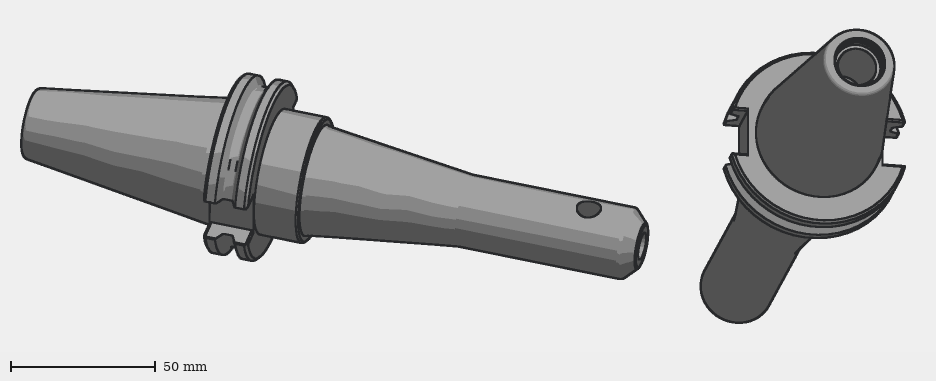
import cadquery as cq
import math

LENGTH = 220.6
TAPER_END = 68.0
FLANGE_START = 71.5
FLANGE_END = 87.4
BODY_END = 103.0
NECK_START = 104.5
SHANK_START = 157.0

SMALL_END_RADIUS = 12.4
SMALL_END_ROUND = 2.0
BODY_RADIUS = 44.4 / 2
BODY_CHAMFER = 0.7
SHOULDER_RADIUS = 19.6
NECK_RADIUS = 19.2
SHANK_RADIUS = 25.4 / 2
TIP_CHAMFER = 4.9
TIP_ROUND = 1.8
TIP_EDGE_BREAK = 0.5

FLANGE_RADIUS = 63.3 / 2
FLANGE_FRONT_CHAMFER = 0.9
FLANGE_BACK_CHAMFER = 1.0
GROOVE_CENTER = (FLANGE_START + FLANGE_END) / 2
GROOVE_FLOOR_RADIUS = 28.2
GROOVE_FLOOR_WIDTH = 3.3
GROOVE_FLOOR_ROUND = 0.7
GROOVE_WALL_SLOPE = math.radians(30)

SLOT_WIDTH = 16.0
SLOT_FLOOR_FRONT = 22.5
SLOT_FLOOR_BACK = 25.0
SLOT_RIM_CHAMFER = 0.5
SLOT_FACE_CHAMFER = 0.7

MOUTH_DIAMETER = 17.9
PILOT_DIAMETER = 16.8
PILOT_DEPTH = 2.5
RELIEF_DIAMETER = 16.3
RELIEF_DEPTH = 4.6
THREAD_DIAMETER = 13.5
THREAD_DEPTH = 31.0
COOLANT_DIAMETER = 9.5
DRILL_POINT_ANGLE = math.radians(118)
SCREW_HOLE_DIAMETER = 8.4
SCREW_HOLE_X = 201.5


def revolve_about_x(profile):
    return profile.close().revolve(360, (0, 0, 0), (1, 0, 0))


def turned_body():
    """Taper, collar, conical neck and straight shank."""
    body = revolve_about_x(
        cq.Workplane("XY")
        .moveTo(0, 0)
        .lineTo(0, SMALL_END_RADIUS)
        .lineTo(TAPER_END, BODY_RADIUS)
        .lineTo(BODY_END - BODY_CHAMFER, BODY_RADIUS)
        .lineTo(BODY_END, BODY_RADIUS - BODY_CHAMFER)
        .lineTo(BODY_END, SHOULDER_RADIUS)
        .lineTo(NECK_START, NECK_RADIUS)
        .lineTo(SHANK_START, SHANK_RADIUS)
        .lineTo(LENGTH - TIP_CHAMFER, SHANK_RADIUS)
        .lineTo(LENGTH, SHANK_RADIUS - TIP_CHAMFER)
        .lineTo(LENGTH, 0)
    )
    body = body.faces("<X").edges().fillet(SMALL_END_ROUND)
    body = body.faces(">X").edges().chamfer(TIP_EDGE_BREAK)
    chamfer_edge = cq.selectors.BoxSelector(
        (LENGTH - TIP_CHAMFER - TIP_EDGE_BREAK, -LENGTH, -LENGTH),
        (LENGTH - TIP_CHAMFER + TIP_EDGE_BREAK, LENGTH, LENGTH),
    )
    return body.edges("%CIRCLE").edges(chamfer_edge).fillet(TIP_ROUND)


def flange():
    """Grooved disc with a slot on each side, slot walls chamfered at both faces."""
    disc = cq.Workplane("YZ", origin=(FLANGE_START, 0, 0)).circle(FLANGE_RADIUS)
    disc = disc.extrude(FLANGE_END - FLANGE_START)
    disc = disc.faces("<X").edges().chamfer(FLANGE_FRONT_CHAMFER)
    disc = disc.faces(">X").edges().chamfer(FLANGE_BACK_CHAMFER)
    disc = disc.cut(v_groove())
    for side, floor in ((-1, SLOT_FLOOR_FRONT), (1, SLOT_FLOOR_BACK)):
        disc = disc.cut(drive_slot(side, floor))
    for face in ("<X", ">X"):
        disc = disc.faces(face).edges("|Y").chamfer(SLOT_FACE_CHAMFER)
    return disc


def v_groove():
    half_floor = GROOVE_FLOOR_WIDTH / 2
    depth = FLANGE_RADIUS - GROOVE_FLOOR_RADIUS
    half_mouth = half_floor + depth * math.tan(GROOVE_WALL_SLOPE)
    ring = revolve_about_x(
        cq.Workplane("XY")
        .moveTo(GROOVE_CENTER - half_mouth, FLANGE_RADIUS)
        .lineTo(GROOVE_CENTER - half_floor, GROOVE_FLOOR_RADIUS)
        .lineTo(GROOVE_CENTER + half_floor, GROOVE_FLOOR_RADIUS)
        .lineTo(GROOVE_CENTER + half_mouth, FLANGE_RADIUS)
    )
    floor_edges = cq.selectors.RadiusNthSelector(0)
    return ring.edges(floor_edges).fillet(GROOVE_FLOOR_ROUND)


def drive_slot(side, floor):
    """Slot open to the rim on the given Y side, with chamfered rim edges."""
    half_width = SLOT_WIDTH / 2
    rim = math.sqrt(FLANGE_RADIUS**2 - half_width**2) - SLOT_RIM_CHAMFER
    flare = FLANGE_RADIUS - rim
    return (
        cq.Workplane("YZ", origin=(FLANGE_START, 0, 0))
        .moveTo(side * floor, -half_width)
        .lineTo(side * rim, -half_width)
        .lineTo(side * FLANGE_RADIUS, -half_width - flare)
        .lineTo(side * FLANGE_RADIUS, half_width + flare)
        .lineTo(side * rim, half_width)
        .lineTo(side * floor, half_width)
        .close()
        .extrude(FLANGE_END - FLANGE_START)
    )


def bore():
    """Chamfered pilot, stepped relief, thread core with a drill point, and through hole."""
    mouth_depth = (MOUTH_DIAMETER - PILOT_DIAMETER) / 2
    point_depth = (THREAD_DIAMETER - COOLANT_DIAMETER) / 2 / math.tan(DRILL_POINT_ANGLE / 2)
    return revolve_about_x(
        cq.Workplane("XY")
        .moveTo(0, 0)
        .lineTo(0, MOUTH_DIAMETER / 2)
        .lineTo(mouth_depth, PILOT_DIAMETER / 2)
        .lineTo(PILOT_DEPTH, PILOT_DIAMETER / 2)
        .lineTo(PILOT_DEPTH, RELIEF_DIAMETER / 2)
        .lineTo(RELIEF_DEPTH, RELIEF_DIAMETER / 2)
        .lineTo(RELIEF_DEPTH, THREAD_DIAMETER / 2)
        .lineTo(THREAD_DEPTH, THREAD_DIAMETER / 2)
        .lineTo(THREAD_DEPTH + point_depth, COOLANT_DIAMETER / 2)
        .lineTo(LENGTH, COOLANT_DIAMETER / 2)
        .lineTo(LENGTH, 0)
    )


def screw_hole():
    """Clamping screw hole from the top of the shank into the bore."""
    hole = cq.Workplane("XY").center(SCREW_HOLE_X, 0).circle(SCREW_HOLE_DIAMETER / 2)
    return hole.extrude(SHANK_RADIUS)


result = turned_body().union(flange()).cut(bore()).cut(screw_hole())